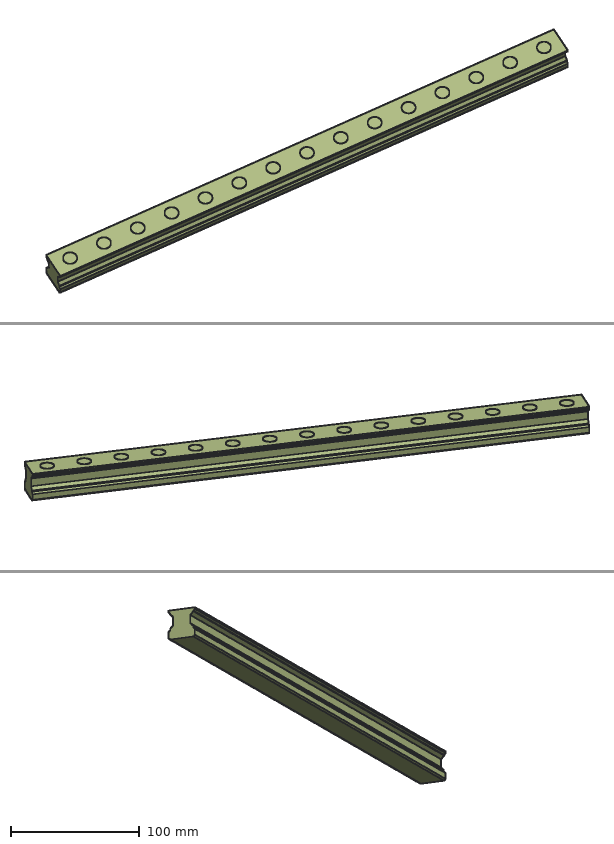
import cadquery as cq

RAIL_WIDTH = 23.0
RAIL_LENGTH = 450.0
RAIL_HEIGHT = 23.6

HALF_WIDTH = RAIL_WIDTH / 2
WAIST_HALF_WIDTH = 7.5
BASE_CHAMFER = 1.3

FOOT_TOP = 6.0
SHOULDER_HALF_WIDTH = 10.0
SHOULDER_STEP_HEIGHT = 1.1
SHOULDER_STEP_BOTTOM = FOOT_TOP + HALF_WIDTH - SHOULDER_HALF_WIDTH
SHOULDER_STEP_TOP = SHOULDER_STEP_BOTTOM + SHOULDER_STEP_HEIGHT
WAIST_BOTTOM = SHOULDER_STEP_TOP + SHOULDER_HALF_WIDTH - WAIST_HALF_WIDTH

WAIST_TOP = 17.7
HEAD_STEP_HALF_WIDTH = 10.2
HEAD_STEP_HEIGHT = 0.5
HEAD_STEP_BOTTOM = WAIST_TOP + HEAD_STEP_HALF_WIDTH - WAIST_HALF_WIDTH
HEAD_STEP_TOP = HEAD_STEP_BOTTOM + HEAD_STEP_HEIGHT
LIP_BOTTOM = HEAD_STEP_TOP + HALF_WIDTH - HEAD_STEP_HALF_WIDTH

HOLE_PITCH = 30.0
HOLE_COUNT = 15
HOLE_DIAMETER = 11.0
HOLE_DEPTH = 0.3


def make_rail():
    """Extrude the symmetric rail section along Y, centred on the origin."""
    half_section = [
        (HALF_WIDTH - BASE_CHAMFER, 0),
        (HALF_WIDTH, BASE_CHAMFER),
        (HALF_WIDTH, FOOT_TOP),
        (SHOULDER_HALF_WIDTH, SHOULDER_STEP_BOTTOM),
        (SHOULDER_HALF_WIDTH, SHOULDER_STEP_TOP),
        (WAIST_HALF_WIDTH, WAIST_BOTTOM),
        (WAIST_HALF_WIDTH, WAIST_TOP),
        (HEAD_STEP_HALF_WIDTH, HEAD_STEP_BOTTOM),
        (HEAD_STEP_HALF_WIDTH, HEAD_STEP_TOP),
        (HALF_WIDTH, LIP_BOTTOM),
        (HALF_WIDTH, RAIL_HEIGHT),
    ]
    mirrored = [(-x, z) for x, z in reversed(half_section)]
    section = cq.Workplane("XZ").polyline(half_section + mirrored).close()
    return section.extrude(RAIL_LENGTH / 2, both=True)


def make_recesses():
    """Evenly pitched cylinders that reach down from the top face."""
    return (
        cq.Workplane("XY", origin=(0, 0, RAIL_HEIGHT - HOLE_DEPTH))
        .rarray(1, HOLE_PITCH, 1, HOLE_COUNT)
        .circle(HOLE_DIAMETER / 2)
        .extrude(HOLE_DEPTH)
    )


result = make_rail().cut(make_recesses())